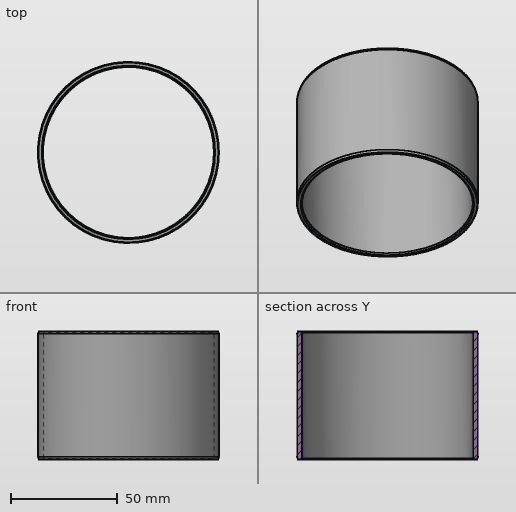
import cadquery as cq

outer_diameter = 85.0
inner_diameter = 80.0
length = 60.0

outer_chamfer_length = 1.2
outer_chamfer_depth = 0.4

bore_chamfer = 0.7

outer_radius = outer_diameter / 2
inner_radius = inner_diameter / 2

wall_section = (
    cq.Workplane("XZ")
    .moveTo(inner_radius, bore_chamfer)
    .lineTo(inner_radius + bore_chamfer, 0)
    .lineTo(outer_radius - outer_chamfer_depth, 0)
    .lineTo(outer_radius, outer_chamfer_length)
    .lineTo(outer_radius, length - outer_chamfer_length)
    .lineTo(outer_radius - outer_chamfer_depth, length)
    .lineTo(inner_radius + bore_chamfer, length)
    .lineTo(inner_radius, length - bore_chamfer)
    .close()
)

result = wall_section.revolve(360, (0, 0, 0), (0, 1, 0))